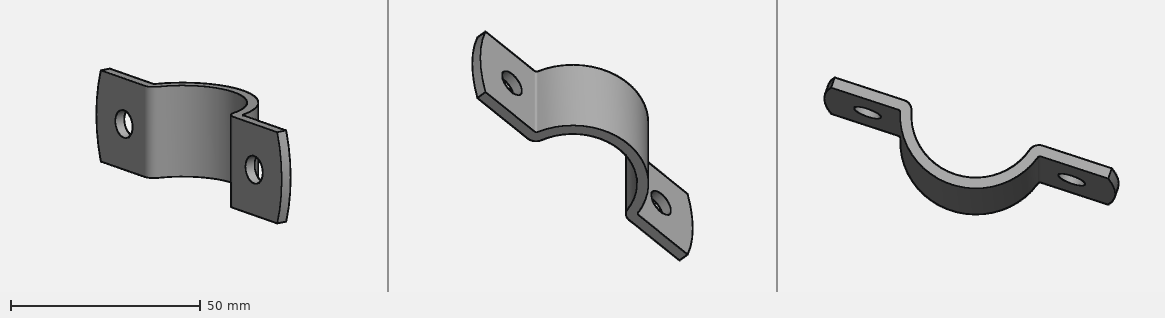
import cadquery as cq
import math

thickness = 3.0
width = 25.0
overall_length = 81.27
overall_depth = 17.93
saddle_inner_radius = 17.0
open_side_bend_radius = 3.0
back_side_bend_radius = 0.7
hole_diameter = 7.5
hole_spacing = 57.0

saddle_outer_radius = saddle_inner_radius + thickness
saddle_center_y = overall_depth - saddle_outer_radius
half_length = overall_length / 2
end_radius = half_length


def bend_points(saddle_radius, bend_radius, flange_y):
    """Return the flange tangent, arc midpoint and saddle tangent of the +X bend.

    The bend circle touches the flange face from the +Y side and the saddle
    circle from outside.
    """
    center_y = flange_y + bend_radius
    center_distance = saddle_radius + bend_radius
    rise = center_y - saddle_center_y
    center_x = math.sqrt(center_distance**2 - rise**2)

    flange_tangent = (center_x, flange_y)
    ratio = saddle_radius / center_distance
    saddle_tangent = (center_x * ratio, saddle_center_y + rise * ratio)

    flange_angle = math.radians(-90)
    saddle_angle = math.atan2(-rise, -center_x)
    mid_angle = (flange_angle + saddle_angle) / 2
    midpoint = (
        center_x + bend_radius * math.cos(mid_angle),
        center_y + bend_radius * math.sin(mid_angle),
    )
    return flange_tangent, midpoint, saddle_tangent


def mirrored(point):
    """Return the matching point on the -X half."""
    return (-point[0], point[1])


def make_strip():
    """Bent strip: flange, saddle, flange, extruded along Z."""
    inner_flange, inner_mid, inner_saddle = bend_points(
        saddle_inner_radius, open_side_bend_radius, 0
    )
    outer_flange, outer_mid, outer_saddle = bend_points(
        saddle_outer_radius, back_side_bend_radius, thickness
    )
    inner_crown = (0, saddle_center_y + saddle_inner_radius)
    outer_crown = (0, overall_depth)

    profile = (
        cq.Workplane("XY")
        .moveTo(-half_length, 0)
        .lineTo(*mirrored(inner_flange))
        .threePointArc(mirrored(inner_mid), mirrored(inner_saddle))
        .threePointArc(inner_crown, inner_saddle)
        .threePointArc(inner_mid, inner_flange)
        .lineTo(half_length, 0)
        .lineTo(half_length, thickness)
        .lineTo(*outer_flange)
        .threePointArc(outer_mid, outer_saddle)
        .threePointArc(outer_crown, mirrored(outer_saddle))
        .threePointArc(mirrored(outer_mid), mirrored(outer_flange))
        .lineTo(-half_length, thickness)
        .close()
    )
    return profile.extrude(width / 2, both=True)


def round_ends(strip):
    """Trim both flange ends to one large circle about the Y axis."""
    envelope = cq.Workplane("XZ").circle(end_radius).extrude(-overall_depth)
    return strip.intersect(envelope)


def drill_holes(strip):
    """One through hole in each flange."""
    holes = (
        cq.Workplane("XZ")
        .pushPoints([(-hole_spacing / 2, 0), (hole_spacing / 2, 0)])
        .circle(hole_diameter / 2)
        .extrude(-thickness)
    )
    return strip.cut(holes)


result = drill_holes(round_ends(make_strip()))